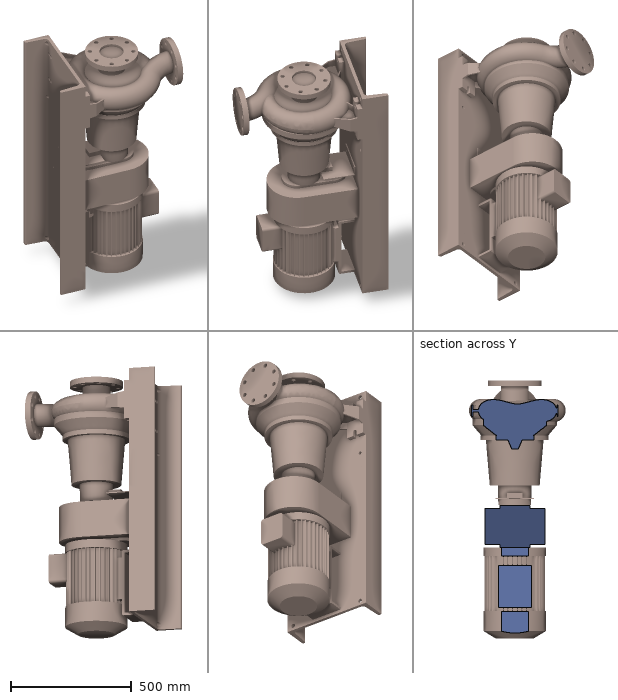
import cadquery as cq
import math


CHANNEL_WIDTH = 400.0
CHANNEL_DEPTH = 111.0
CHANNEL_TOP = 131.0
CHANNEL_LENGTH = 1030.0
WEB_THICKNESS = 14.0
WEB_FACE = -200.0
FLANGE_TIP_THICKNESS = 15.0
FLANGE_ROOT_THICKNESS = 22.0
CHANNEL_ROOT_FILLET = 17.0
CHANNEL_TIP_FILLET = 8.0
ANCHOR_HOLE_X = 170.0
ANCHOR_END_MARGIN = 20.0
ANCHOR_HOLE_DIAMETER = 18.0
MID_ANCHOR_Z = -160.0
MID_ANCHOR_DIAMETER = 14.0

RING_CENTRE_X = 11.0
RING_RADIUS = 153.0
TUBE_RADIUS = 47.0
TONGUE_RING_RADIUS = 145.0
TONGUE_TUBE_RADIUS = 35.0
TONGUE_ANGLE = 45
TONGUE_STEPS = 6
HUB_RADIUS = 145.0
HUB_RIM_Z = 24.0
HUB_CENTRE_Z = 52.0
OUTLET_ANGLE = 61

BOLT_COUNT = 8
FLANGE_BOLT_DIAMETER = 18.0
SUCTION_FLANGE_DIAMETER = 220.0
SUCTION_BOLT_CIRCLE = 180.0
SUCTION_FLANGE_THICKNESS = 24.0
SUCTION_TOP = 125.0
SUCTION_PIPE_DIAMETER = 115.0
SUCTION_BORE_DIAMETER = 100.0
SUCTION_BORE_DEPTH = 12.0
OUTLET_FLANGE_DIAMETER = 200.0
OUTLET_BOLT_CIRCLE = 160.0
OUTLET_FLANGE_THICKNESS = 24.0
OUTLET_FACE_Y = 280.0

BACK_TOP = -34.0
BACK_RADIUS = 175.0
CONE_TOP = -60.0
RING_TOP = -103.0
CONE_END_RADIUS = 139.0
COVER_RING_RADIUS = 141.0
HOUSING_TOP = -123.0
HOUSING_TOP_RADIUS = 119.0
NECK_TOP = -311.0
HOUSING_END_RADIUS = 103.0
NECK_TOP_RADIUS = 70.0
NECK_END_RADIUS = 68.0
NECK_END = -390.0

FOOT_HALF_LENGTH = 81.0
FOOT_THICKNESS = 20.0
FOOT_INNER_X = 119.0
FOOT_SLOT_X = 158.0
FOOT_SLOT_WIDTH = 17.0
FOOT_BOLT_Z = 62.0
FOOT_SPARE_HOLE_X = 140.0
FOOT_HOLE_DIAMETER = 16.0
STRAP_THICKNESS = 6.0
STRAP_KNEE_Y = -150.0
STRAP_TIP = (157.0, -75.0)
INNER_STRAP_TIP = (80.0, -162.0)
STRAP_BASE_HALF_WIDTH = 37.0
STRAP_TIP_HALF_WIDTH = 19.0
RIB_THICKNESS = 11.0

LUG_HALF_WIDTH = 32.0
LUG_END_Y = -114.0
LUG_TOP = -342.0
BRACKET_HALF_WIDTH = 80.0
BRACKET_TOP = -320.0
SHELF_TOP = -362.0
SHEET_THICKNESS = 4.0
SHELF_START_Y = -65.0
BRACKET_HOLE_X = 55.0
BRACKET_HOLE_Z = -340.0
BRACKET_HOLE_DIAMETER = 9.0

GUARD_RADIUS = 125.0
GUARD_CENTRE_Y = 31.0
GUARD_TOP = -404.0
GUARD_BOTTOM = -554.0
PLATE_RADIUS = 62.0
PLATE_LOW_CENTRE_Y = -117.0
PLATE_BOTTOM = -567.0
GUARD_HOLE_X = 111.0
GUARD_HOLE_Z = -478.0
GUARD_HOLE_DIAMETER = 8.0

MOTOR_RADIUS = 129.0
FIN_TOP = -601.0
FIN_BOTTOM = -830.0
FIN_RADIUS = 126.0
FIN_ROOT_RADIUS = 114.0
FIN_TIP_PITCH = 9
FINS_PER_SIDE = 10
FIN_THICKNESS = 2.0
COWL_CHAMFER_START = -913.0
MOTOR_END = -944.0
COWL_END_RADIUS = 77.0
BOX_HALF_WIDTH = 54.0
BOX_FACE_Y = 190.0
BOX_TOP = -602.0
BOX_BOTTOM = -723.0
BOX_FILLET = 11.0
PAD_TOP = -640.0
PAD_BOTTOM = -816.0
PAD_HALF_WIDTH = 70.0
PAD_FACE_Y = -131.0
PAD_EDGE_Y = -117.0
PAD_SHOULDER_Y = -99.0
PAD_SHOULDER_HALF_WIDTH = 56.0

STOOL_TOP = -608.0
STOOL_BOTTOM = -885.0
STOOL_THICKNESS = 11.0
STOOL_HALF_WIDTH = 70.0
STOOL_CHAMFER = 4.0


def box(x_low, x_high, y_low, y_high, z_low, z_high):
    """Rectangular block between the given limits."""
    block = cq.Workplane("XY").box(x_high - x_low, y_high - y_low, z_high - z_low, centered=False)
    return block.translate((x_low, y_low, z_low))


def cylinder(radius, z_low, z_high):
    """Cylinder on the pump axis between two heights."""
    return cq.Workplane("XY", origin=(0, 0, z_low)).circle(radius).extrude(z_high - z_low)


def cross_holes(points, diameter, y_low, y_high):
    """Round holes along Y at the given (x, z) points."""
    plane = cq.Plane(origin=(0, y_low, 0), xDir=(1, 0, 0), normal=(0, 1, 0))
    centres = [(x, -z) for x, z in points]
    return cq.Workplane(plane).pushPoints(centres).circle(diameter / 2).extrude(y_high - y_low)


def both_sides(x, z):
    """The point (x, z) and its mirror image across x = 0."""
    return [(x, z), (-x, z)]


def make_base_channel():
    half = CHANNEL_WIDTH / 2
    tip_y = WEB_FACE - CHANNEL_DEPTH
    web_inner_y = WEB_FACE - WEB_THICKNESS
    tip_x = half - FLANGE_TIP_THICKNESS
    root_x = half - FLANGE_ROOT_THICKNESS
    outline = [
        (-half, WEB_FACE),
        (half, WEB_FACE),
        (half, tip_y),
        (tip_x, tip_y),
        (root_x, web_inner_y),
        (-root_x, web_inner_y),
        (-tip_x, tip_y),
        (-half, tip_y),
    ]
    bottom = CHANNEL_TOP - CHANNEL_LENGTH
    channel = cq.Workplane("XY", origin=(0, 0, bottom)).polyline(outline).close().extrude(CHANNEL_LENGTH)
    for side in (-1, 1):
        root = cq.selectors.NearestToPointSelector((side * root_x, web_inner_y, bottom + CHANNEL_LENGTH / 2))
        channel = channel.edges(root).fillet(CHANNEL_ROOT_FILLET)
        tip = cq.selectors.NearestToPointSelector((side * tip_x, tip_y, bottom + CHANNEL_LENGTH / 2))
        channel = channel.edges(tip).fillet(CHANNEL_TIP_FILLET)

    end_anchors = []
    for z in (CHANNEL_TOP - ANCHOR_END_MARGIN, bottom + ANCHOR_END_MARGIN):
        end_anchors += both_sides(ANCHOR_HOLE_X, z)
    foot_bolts = []
    for z in (FOOT_BOLT_Z, -FOOT_BOLT_Z):
        foot_bolts += both_sides(FOOT_SLOT_X, z) + both_sides(FOOT_SPARE_HOLE_X, z)
    hole_groups = [
        (end_anchors, ANCHOR_HOLE_DIAMETER),
        (both_sides(ANCHOR_HOLE_X, MID_ANCHOR_Z), MID_ANCHOR_DIAMETER),
        (foot_bolts, FOOT_HOLE_DIAMETER),
        (both_sides(BRACKET_HOLE_X, BRACKET_HOLE_Z), BRACKET_HOLE_DIAMETER),
        (both_sides(GUARD_HOLE_X, GUARD_HOLE_Z), GUARD_HOLE_DIAMETER),
    ]
    drill_end = web_inner_y - CHANNEL_ROOT_FILLET
    for points, diameter in hole_groups:
        channel = channel.cut(cross_holes(points, diameter, drill_end, WEB_FACE))
    return channel


def pipe_flange(plane, diameter, thickness, bolt_circle):
    """Flange disc growing from the plane, its bolt holes straddling the plane's x axis."""
    disc = cq.Workplane(plane).circle(diameter / 2).extrude(thickness)
    half_pitch = 180 / BOLT_COUNT
    bolts = (
        cq.Workplane(plane)
        .polarArray(bolt_circle / 2, half_pitch, 360, BOLT_COUNT)
        .circle(FLANGE_BOLT_DIAMETER / 2)
        .extrude(thickness)
    )
    return disc.cut(bolts)


def make_scroll():
    """Constant tube from the left end, under the pump, up the right side to the outlet bend."""
    outlet = math.radians(OUTLET_ANGLE)
    bend_x = RING_CENTRE_X + RING_RADIUS * math.cos(outlet)
    bend_y = RING_RADIUS * math.sin(outlet)
    bend_radius = bend_x / (1 - math.cos(outlet))

    ring_start = cq.Workplane("XZ", origin=(RING_CENTRE_X, 0, 0)).center(-RING_RADIUS, 0).circle(TUBE_RADIUS)
    ring = ring_start.revolve(180 + OUTLET_ANGLE, (RING_RADIUS, 0), (RING_RADIUS, 1))
    ring_end = cq.Plane(
        origin=(bend_x, bend_y, 0),
        xDir=(math.cos(outlet), math.sin(outlet), 0),
        normal=(-math.sin(outlet), math.cos(outlet), 0),
    )
    bend = (
        cq.Workplane(ring_end)
        .circle(TUBE_RADIUS)
        .revolve(OUTLET_ANGLE, (bend_radius, 0), (bend_radius, 1))
    )
    flange_plane = cq.Plane(
        origin=(0, OUTLET_FACE_Y - OUTLET_FLANGE_THICKNESS, 0), xDir=(1, 0, 0), normal=(0, 1, 0)
    )
    flange = pipe_flange(flange_plane, OUTLET_FLANGE_DIAMETER, OUTLET_FLANGE_THICKNESS, OUTLET_BOLT_CIRCLE)
    return ring.union(bend).union(flange)


def make_tongue():
    """Shrinking tube from the left end over the top, running into the outlet side of the scroll."""
    sections = []
    for step in range(TONGUE_STEPS + 1):
        share = step / TONGUE_STEPS
        angle = math.radians(180 + (TONGUE_ANGLE - 180) * share)
        ring_radius = RING_RADIUS + (TONGUE_RING_RADIUS - RING_RADIUS) * share
        tube_radius = TUBE_RADIUS + (TONGUE_TUBE_RADIUS - TUBE_RADIUS) * share
        centre = cq.Vector(RING_CENTRE_X + ring_radius * math.cos(angle), ring_radius * math.sin(angle), 0)
        along = cq.Vector(math.sin(angle), -math.cos(angle), 0)
        sections.append(cq.Wire.makeCircle(tube_radius, centre, along))
    return cq.Workplane(cq.Solid.makeLoft(sections))


def make_hub():
    """Gently coned disc that fills the middle of the scroll."""
    profile = [(0, BACK_TOP), (HUB_RADIUS, BACK_TOP), (HUB_RADIUS, HUB_RIM_Z), (0, HUB_CENTRE_Z)]
    hub = cq.Workplane("XZ").polyline(profile).close().revolve(360, (0, 0), (0, 1))
    return hub.translate((RING_CENTRE_X, 0, 0))


def make_suction():
    pipe = cylinder(SUCTION_PIPE_DIAMETER / 2, BACK_TOP, SUCTION_TOP)
    flange_plane = cq.Plane.XY((0, 0, SUCTION_TOP - SUCTION_FLANGE_THICKNESS))
    flange = pipe_flange(flange_plane, SUCTION_FLANGE_DIAMETER, SUCTION_FLANGE_THICKNESS, SUCTION_BOLT_CIRCLE)
    bore = cylinder(SUCTION_BORE_DIAMETER / 2, SUCTION_TOP - SUCTION_BORE_DEPTH, SUCTION_TOP)
    return pipe.union(flange).cut(bore)


def make_bearing_housing():
    """Turned casing below the volute, as one revolved half profile."""
    profile = [
        (0, BACK_TOP),
        (BACK_RADIUS, BACK_TOP),
        (BACK_RADIUS, CONE_TOP),
        (CONE_END_RADIUS, RING_TOP),
        (COVER_RING_RADIUS, RING_TOP),
        (COVER_RING_RADIUS, HOUSING_TOP),
        (HOUSING_TOP_RADIUS, HOUSING_TOP),
        (HOUSING_END_RADIUS, NECK_TOP),
        (NECK_TOP_RADIUS, NECK_TOP),
        (NECK_END_RADIUS, NECK_END),
        (0, NECK_END),
    ]
    return cq.Workplane("XZ").polyline(profile).close().revolve(360, (0, 0), (0, 1))


def make_foot():
    """Right-hand volute foot: slotted pad, two straps up to the scroll and a rib between them."""
    outer_x = CHANNEL_WIDTH / 2
    pad_top = WEB_FACE + FOOT_THICKNESS
    pad = box(FOOT_INNER_X, outer_x, WEB_FACE, pad_top, -FOOT_HALF_LENGTH, FOOT_HALF_LENGTH)
    slot_points = [(FOOT_SLOT_X, FOOT_BOLT_Z), (FOOT_SLOT_X, -FOOT_BOLT_Z)]
    pad = pad.cut(cross_holes(slot_points, FOOT_SLOT_WIDTH, WEB_FACE, pad_top))
    for end in (-FOOT_HALF_LENGTH, FOOT_HALF_LENGTH):
        bolt_z = math.copysign(FOOT_BOLT_Z, end)
        half_slot = FOOT_SLOT_WIDTH / 2
        slot_x = (FOOT_SLOT_X - half_slot, FOOT_SLOT_X + half_slot)
        slot_z = sorted((end, bolt_z))
        pad = pad.cut(box(*slot_x, WEB_FACE, pad_top, *slot_z))

    strap_root_y = pad_top - STRAP_THICKNESS
    outline = [
        (FOOT_INNER_X, strap_root_y),
        (outer_x, strap_root_y),
        (outer_x, STRAP_KNEE_Y),
        STRAP_TIP,
        INNER_STRAP_TIP,
    ]
    hollow = [
        (FOOT_INNER_X, pad_top),
        (outer_x - STRAP_THICKNESS, pad_top),
        (outer_x - STRAP_THICKNESS, STRAP_KNEE_Y),
        (STRAP_TIP[0] - STRAP_THICKNESS, STRAP_TIP[1]),
        (INNER_STRAP_TIP[0], INNER_STRAP_TIP[1] + STRAP_THICKNESS),
    ]
    base_half = STRAP_BASE_HALF_WIDTH
    straps = cq.Workplane("XY").polyline(outline).close().extrude(base_half, both=True)
    straps = straps.cut(cq.Workplane("XY").polyline(hollow).close().extrude(base_half, both=True))
    taper = [
        (strap_root_y, -base_half),
        (STRAP_TIP[1], -STRAP_TIP_HALF_WIDTH),
        (STRAP_TIP[1], STRAP_TIP_HALF_WIDTH),
        (strap_root_y, base_half),
    ]
    straps = straps.intersect(cq.Workplane("YZ").polyline(taper).close().extrude(outer_x))
    rib = cq.Workplane("XY").polyline(outline).close().extrude(RIB_THICKNESS / 2, both=True)
    return pad.union(straps).union(rib)


def make_bearing_foot():
    """Lug on the neck resting on an angle bracket that stands against the web."""
    lug = box(-LUG_HALF_WIDTH, LUG_HALF_WIDTH, LUG_END_Y, 0, SHELF_TOP, LUG_TOP)
    shelf_bottom = SHELF_TOP - SHEET_THICKNESS
    half = BRACKET_HALF_WIDTH
    shelf = box(-half, half, WEB_FACE, SHELF_START_Y, shelf_bottom, SHELF_TOP)
    sheet_face = WEB_FACE + SHEET_THICKNESS
    upright = box(-half, half, WEB_FACE, sheet_face, shelf_bottom, BRACKET_TOP)
    hole_points = both_sides(BRACKET_HOLE_X, BRACKET_HOLE_Z)
    holes = cross_holes(hole_points, BRACKET_HOLE_DIAMETER, WEB_FACE, sheet_face)
    return lug.union(shelf).union(upright.cut(holes))


def make_pump():
    right_foot = make_foot()
    pump = make_scroll().union(make_tongue())
    for feature in (
        make_hub(),
        make_suction(),
        make_bearing_housing(),
        right_foot,
        right_foot.mirror("YZ"),
        make_bearing_foot(),
    ):
        pump = pump.union(feature)
    return pump


def make_drive_guard():
    height = GUARD_TOP - GUARD_BOTTOM
    guard = (
        cq.Workplane("XY", origin=(0, 0, GUARD_BOTTOM))
        .moveTo(-GUARD_RADIUS, WEB_FACE)
        .lineTo(GUARD_RADIUS, WEB_FACE)
        .lineTo(GUARD_RADIUS, GUARD_CENTRE_Y)
        .threePointArc((0, GUARD_CENTRE_Y + GUARD_RADIUS), (-GUARD_RADIUS, GUARD_CENTRE_Y))
        .close()
        .extrude(height)
    )
    plate_span = GUARD_CENTRE_Y - PLATE_LOW_CENTRE_Y
    plates = (
        cq.Workplane("XY", origin=(0, (GUARD_CENTRE_Y + PLATE_LOW_CENTRE_Y) / 2, PLATE_BOTTOM))
        .slot2D(plate_span + 2 * PLATE_RADIUS, 2 * PLATE_RADIUS, 90)
        .extrude(NECK_END - PLATE_BOTTOM)
    )
    return guard.union(plates)


def make_motor_frame():
    """Turned motor outline with thin fins, square to X and to Y, between the end bells."""
    profile = [
        (0, PLATE_BOTTOM),
        (MOTOR_RADIUS, PLATE_BOTTOM),
        (MOTOR_RADIUS, FIN_TOP),
        (FIN_ROOT_RADIUS, FIN_TOP),
        (FIN_ROOT_RADIUS, FIN_BOTTOM),
        (MOTOR_RADIUS, FIN_BOTTOM),
        (MOTOR_RADIUS, COWL_CHAMFER_START),
        (COWL_END_RADIUS, MOTOR_END),
        (0, MOTOR_END),
    ]
    frame = cq.Workplane("XZ").polyline(profile).close().revolve(360, (0, 0), (0, 1))
    envelope = cylinder(FIN_RADIUS, FIN_BOTTOM, FIN_TOP)
    half = FIN_THICKNESS / 2
    for number in range(FINS_PER_SIDE):
        tip_angle = (number - (FINS_PER_SIDE - 1) / 2) * FIN_TIP_PITCH
        offset = FIN_RADIUS * math.sin(math.radians(tip_angle))
        fin = box(-FIN_RADIUS, FIN_RADIUS, offset - half, offset + half, FIN_BOTTOM, FIN_TOP)
        fin = fin.intersect(envelope)
        frame = frame.union(fin).union(fin.rotate((0, 0, 0), (0, 0, 1), 90))
    return frame


def make_motor():
    terminal_box = box(-BOX_HALF_WIDTH, BOX_HALF_WIDTH, 0, BOX_FACE_Y, BOX_BOTTOM, BOX_TOP)
    terminal_box = terminal_box.edges("|Y").fillet(BOX_FILLET)
    pad_outline = [
        (-PAD_HALF_WIDTH, PAD_FACE_Y),
        (PAD_HALF_WIDTH, PAD_FACE_Y),
        (PAD_HALF_WIDTH, PAD_EDGE_Y),
        (PAD_SHOULDER_HALF_WIDTH, PAD_SHOULDER_Y),
        (-PAD_SHOULDER_HALF_WIDTH, PAD_SHOULDER_Y),
        (-PAD_HALF_WIDTH, PAD_EDGE_Y),
    ]
    pad = cq.Workplane("XY", origin=(0, 0, PAD_BOTTOM)).polyline(pad_outline).close()
    return make_motor_frame().union(terminal_box).union(pad.extrude(PAD_TOP - PAD_BOTTOM))


def make_motor_stool():
    """Channel-shaped bracket between the motor pad and the web."""
    half = STOOL_HALF_WIDTH
    stool = box(-half, half, WEB_FACE, PAD_FACE_Y, STOOL_BOTTOM, STOOL_TOP)
    stool = stool.edges("|X and >Y").chamfer(STOOL_CHAMFER)
    opening = box(
        -half,
        half,
        WEB_FACE,
        PAD_FACE_Y - STOOL_THICKNESS,
        STOOL_BOTTOM + STOOL_THICKNESS,
        STOOL_TOP - STOOL_THICKNESS,
    )
    return stool.cut(opening)


base_channel = make_base_channel()
pump = make_pump()
drive_guard = make_drive_guard()
motor = make_motor()
motor_stool = make_motor_stool()

bodies = [base_channel, pump, drive_guard, motor, motor_stool]
result = cq.Compound.makeCompound([body.solids().val() for body in bodies])